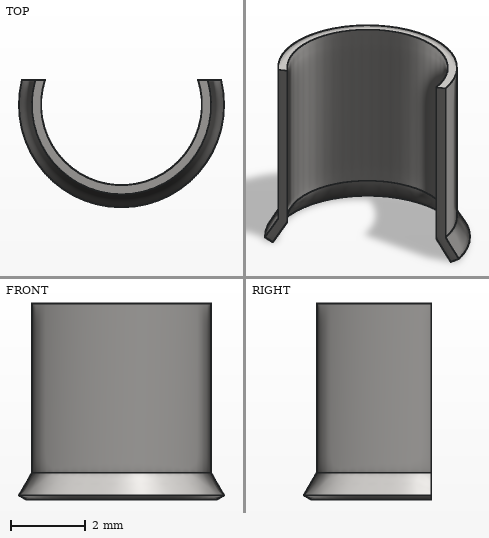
import cadquery as cq
import math

height = 5.3
flare_radius = 2.77
tube_radius = 2.415
wall = 0.25
flare_angle = math.radians(30)
cut_y = 0.67

lip_width = wall * math.cos(flare_angle)
lip_height = wall * math.sin(flare_angle)

bore_radius = tube_radius - wall
outer_bend_z = lip_height + (flare_radius - tube_radius) / math.tan(flare_angle)
inner_bend_z = outer_bend_z - wall * math.tan(flare_angle / 2)


def flared_tube():
    """Full tube of constant wall thickness, flared at its bottom end."""
    section = [
        (bore_radius, height),
        (tube_radius, height),
        (tube_radius, outer_bend_z),
        (flare_radius, lip_height),
        (flare_radius - lip_width, 0),
        (bore_radius, inner_bend_z),
    ]
    return cq.Workplane("XZ").polyline(section).close().revolve(360, (0, 0, 0), (0, 1, 0))


def kept_side():
    """Block covering everything in front of the trimming plane."""
    return cq.Workplane("XY").box(
        2 * flare_radius, flare_radius + cut_y, height, centered=(True, False, False)
    ).translate((0, -flare_radius, 0))


result = flared_tube().intersect(kept_side())